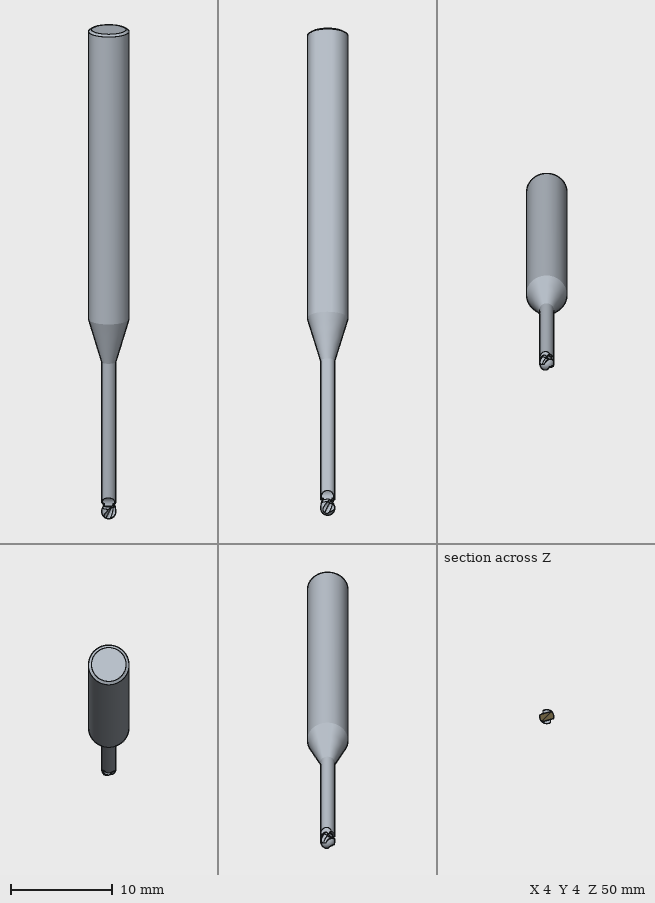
import cadquery as cq
import math

total_length = 50.0
shank_radius = 2.0
shank_bottom = 20.4
end_chamfer_width = 0.3
end_chamfer_height = 0.2

neck_radius = 0.7
neck_top = 16.0
neck_bottom = 1.65
core_radius = 0.55

head_radius = 0.7
head_top = 1.15
lobe_top = 1.4
land_width = 0.75
blank_margin = 0.3
flute_radius = 0.35
flute_offset = 0.65
twist_per_unit = 66.0
lobe_angle_at_joint = 75.0

runout_top = 2.3
runout_depth = 0.35
runout_turn = 15.0


def fluted_bar(bottom, top):
    """Twisted two-lobed blank, wider than the head, with lobes at a set angle from X at the joint."""
    height = top - bottom
    blank_x = head_radius + blank_margin
    land_y = land_width / 2
    flute_x = math.sqrt(flute_radius**2 - (flute_offset - land_y) ** 2)
    flute_floor = flute_offset - flute_radius
    section = (
        cq.Workplane("XY")
        .moveTo(blank_x, -land_y)
        .lineTo(blank_x, land_y)
        .lineTo(flute_x, land_y)
        .threePointArc((0, flute_floor), (-flute_x, land_y))
        .lineTo(-blank_x, land_y)
        .lineTo(-blank_x, -land_y)
        .lineTo(-flute_x, -land_y)
        .threePointArc((0, -flute_floor), (flute_x, -land_y))
        .close()
    )
    start_angle = lobe_angle_at_joint + (bottom - head_top) * twist_per_unit
    bar = section.twistExtrude(height, height * twist_per_unit)
    return bar.rotate((0, 0, 0), (0, 0, 1), start_angle).translate((0, 0, bottom))


def runout_cutter():
    """Cylinder along X that scoops the -Y side of the neck down to the undercut."""
    rise = runout_top - neck_bottom
    radius = (rise**2 + runout_depth**2) / (2 * runout_depth)
    center_y = -neck_radius + runout_depth - radius
    scoop = cq.Workplane("YZ").center(center_y, neck_bottom).circle(radius)
    scoop = scoop.extrude(2 * neck_radius, both=True)
    above_joint = cq.Workplane("XY").workplane(offset=lobe_top)
    above_joint = above_joint.rect(4 * radius, 4 * radius).extrude(2 * radius)
    return scoop.intersect(above_joint)


def make_holder():
    """Shank, cone, neck and the fluted stub above the cutting head."""
    outline = [
        (0, head_top),
        (core_radius, head_top),
        (core_radius, neck_bottom),
        (neck_radius, neck_bottom),
        (neck_radius, neck_top),
        (shank_radius, shank_bottom),
        (shank_radius, total_length - end_chamfer_height),
        (shank_radius - end_chamfer_width, total_length),
        (0, total_length),
    ]
    holder = cq.Workplane("XZ").polyline(outline).close().revolve(360, (0, 0, 0), (0, 1, 0))
    for side in range(2):
        angle = runout_turn + 180 * side
        holder = holder.cut(runout_cutter().rotate((0, 0, 0), (0, 0, 1), angle))

    joint_disc = cq.Workplane("XY").workplane(offset=head_top).circle(head_radius)
    joint_disc = joint_disc.extrude(lobe_top - head_top)
    stub = joint_disc.intersect(fluted_bar(head_top, lobe_top))
    return holder.cut(joint_disc).union(stub)


def make_cutting_head():
    """Twisted two-flute head trimmed to a hemispherical nose."""
    nose_mid = head_radius * math.sqrt(0.5)
    envelope = (
        cq.Workplane("XZ")
        .moveTo(0, 0)
        .threePointArc((nose_mid, head_radius - nose_mid), (head_radius, head_radius))
        .lineTo(head_radius, head_top)
        .lineTo(0, head_top)
        .close()
        .revolve(360, (0, 0, 0), (0, 1, 0))
    )
    return envelope.intersect(fluted_bar(0, head_top))


holder = make_holder()
cutting_head = make_cutting_head()

result = cq.Compound.makeCompound([*holder.solids().vals(), *cutting_head.solids().vals()])